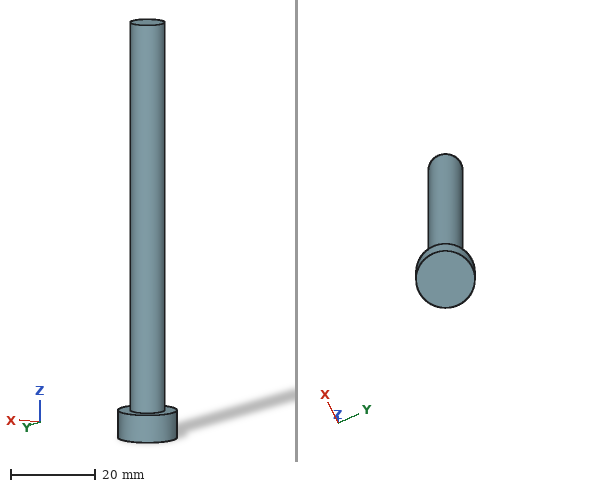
import cadquery as cq

total_length = 100.0
head_diameter = 14.0
head_height = 6.6
shank_diameter = 8.2
shank_length = total_length - head_height

head = cq.Workplane("XY", origin=(0, 0, -total_length / 2)).circle(head_diameter / 2).extrude(head_height)
result = head.faces(">Z").workplane().circle(shank_diameter / 2).extrude(shank_length)